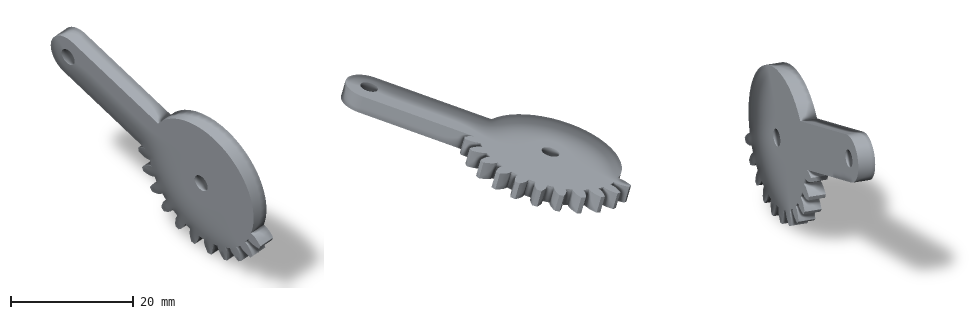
import cadquery as cq
import math

thickness = 3.0
bore_diameter = 3.0
arm_length = 31.8
arm_angle = 15
arm_end_radius = 4.0

pitch_radius = 13.5
full_tooth_count = 24
pressure_angle = math.radians(20)
teeth_left = 6
teeth_right = 5
dedendum_factor = 1.25
flank_points = 7

gear_module = 2 * pitch_radius / full_tooth_count
tip_radius = pitch_radius + gear_module
root_radius = pitch_radius - dedendum_factor * gear_module
base_radius = pitch_radius * math.cos(pressure_angle)
tooth_pitch = 2 * math.pi / full_tooth_count
root_overlap = gear_module


def involute(angle):
    return math.tan(angle) - angle


def polar(radius, angle):
    """Point at an angle from straight down, positive toward +X."""
    return (radius * math.sin(angle), -radius * math.cos(angle))


def half_tooth_angle(radius):
    flank_angle = math.acos(min(1, base_radius / radius))
    return tooth_pitch / 4 + involute(pressure_angle) - involute(flank_angle)


def make_tooth(center_angle):
    """Involute flanks above the base circle, radial flanks below it."""
    step = (tip_radius - base_radius) / (flank_points - 1)
    radii = [base_radius + step * i for i in range(flank_points)]
    left = [polar(r, center_angle - half_tooth_angle(r)) for r in radii]
    right = [polar(r, center_angle + half_tooth_angle(r)) for r in reversed(radii)]
    inner_radius = root_radius - root_overlap
    root_half_angle = half_tooth_angle(base_radius)
    return (
        cq.Workplane("XZ")
        .moveTo(*polar(inner_radius, center_angle - root_half_angle))
        .lineTo(*left[0])
        .spline(left[1:], includeCurrent=True)
        .threePointArc(polar(tip_radius, center_angle), right[0])
        .spline(right[1:], includeCurrent=True)
        .lineTo(*polar(inner_radius, center_angle + root_half_angle))
        .close()
        .extrude(thickness)
    )


def make_disc(center, radius):
    return cq.Workplane("XZ").center(*center).circle(radius).extrude(thickness)


def make_arm():
    """Straight bar from the hub axis to the arm hole, with a round end."""
    bar = (
        cq.Workplane("XY")
        .box(arm_length, thickness, 2 * arm_end_radius)
        .translate((-arm_length / 2, -thickness / 2, 0))
        .rotate((0, 0, 0), (0, 1, 0), arm_angle)
    )
    return bar.union(make_disc(arm_hole, arm_end_radius))


hub_center = (0, 0)
arm_hole = (
    -arm_length * math.cos(math.radians(arm_angle)),
    arm_length * math.sin(math.radians(arm_angle)),
)

result = make_disc(hub_center, root_radius).union(make_arm())

for index in range(-teeth_left, teeth_right):
    result = result.union(make_tooth((index + 0.5) * tooth_pitch))

for hole_center in (hub_center, arm_hole):
    result = result.cut(make_disc(hole_center, bore_diameter / 2))